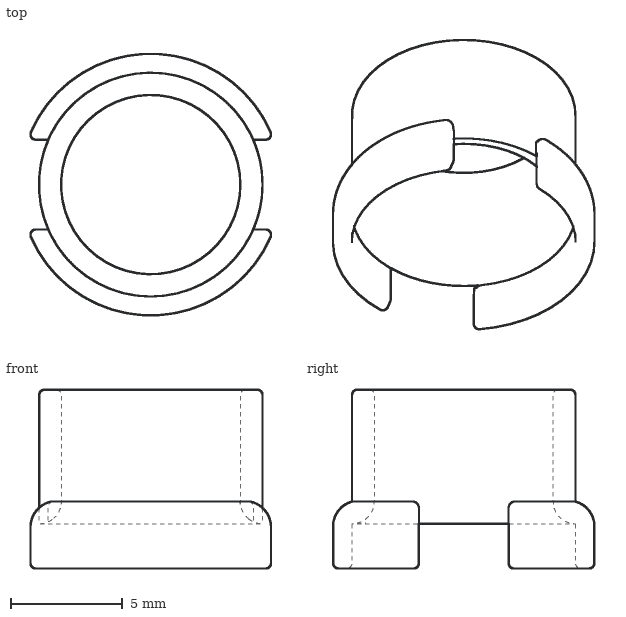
import cadquery as cq
import math

tube_radius = 5.0
bore_radius = 4.0
total_height = 8.0
tube_bottom = 2.0
flare_radius = tube_radius - bore_radius

collar_radius = 5.85
collar_height = 3.0
shoulder_radius = 1.18
slot_width = 4.0
shoulder_overlap = 0.2

edge_radius = 0.25


def arc_point(center, radius, angle):
    """Point (r, z) on an arc, at an angle in radians above the outward direction."""
    return (center[0] + radius * math.cos(angle), center[1] + radius * math.sin(angle))


def revolve_about_z(profile):
    return profile.revolve(360, (0, 0, 0), (0, 1, 0))


def cylinder(radius, bottom, top):
    return cq.Workplane("XY").workplane(offset=bottom).circle(radius).extrude(top - bottom)


def collar_ring():
    """Collar before slotting: clear of the tube below its bottom, reaching into its wall above."""
    inner_radius = tube_radius - shoulder_overlap
    center_radius = collar_radius - shoulder_radius
    shoulder_rise = math.sqrt(shoulder_radius**2 - (tube_radius - center_radius) ** 2)
    center = (center_radius, collar_height - shoulder_rise)
    end_angle = math.acos((inner_radius - center_radius) / shoulder_radius)
    profile = (
        cq.Workplane("XZ")
        .moveTo(tube_radius, 0)
        .lineTo(collar_radius, 0)
        .lineTo(collar_radius, center[1])
        .threePointArc(
            arc_point(center, shoulder_radius, end_angle / 2),
            arc_point(center, shoulder_radius, end_angle),
        )
        .lineTo(inner_radius, tube_bottom)
        .lineTo(tube_radius, tube_bottom)
        .close()
    )
    return revolve_about_z(profile)


def collar_legs():
    """The two legs, rounded around their feet and slot faces."""
    slot = cq.Workplane("XY").box(4 * collar_radius, slot_width, 4 * collar_height)
    legs = collar_ring().cut(slot)
    half_chord = math.sqrt(tube_radius**2 - (slot_width / 2) ** 2)
    buried = cq.selectors.BoxSelector(
        (-half_chord, -slot_width, tube_bottom - edge_radius),
        (half_chord, slot_width, total_height),
    )
    return legs.faces("|Y or <Z").edges(-buried).fillet(edge_radius)


def flared_mouth():
    """Space inside the flare at the lower end of the bore."""
    center = (tube_radius, tube_bottom + flare_radius)
    profile = (
        cq.Workplane("XZ")
        .moveTo(0, tube_bottom)
        .lineTo(tube_radius, tube_bottom)
        .threePointArc(
            arc_point(center, flare_radius, math.radians(225)),
            (bore_radius, center[1]),
        )
        .lineTo(0, center[1])
        .close()
    )
    return revolve_about_z(profile)


tube = cylinder(tube_radius, tube_bottom, total_height)
bore = cylinder(bore_radius, tube_bottom, total_height)
body = tube.union(collar_legs()).cut(bore).cut(flared_mouth())
result = body.faces(">Z").edges().fillet(edge_radius)